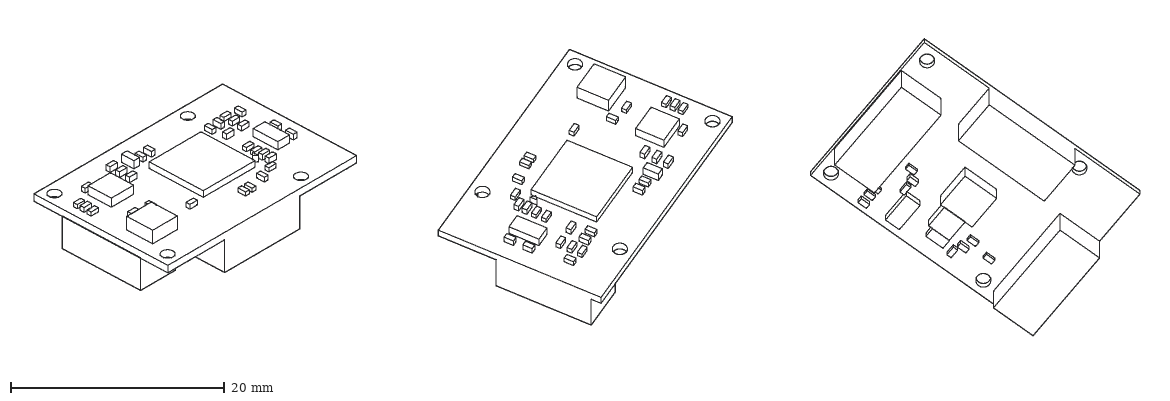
import cadquery as cq


BOARD_WIDTH = 17.4
BOARD_LENGTH = 25.6
BOARD_THICKNESS = 0.85
HOLE_DIAMETER = 1.4
HOLE_X = 7.35
UPPER_HOLE_Y = 6.65
LOWER_HOLE_Y = -11.42

CONNECTOR_LENGTH = 10.2
CONNECTOR_DEPTH = 4.7
CONNECTOR_HEIGHT = 3.7
BACK_CONNECTOR_LEFT = -7.65
FRONT_CONNECTOR_INSET = 0.08

CHIP_LENGTH = 1.0
CHIP_WIDTH = 0.5
LOW = 0.45
MEDIUM = 0.55
HIGH = 0.65
EXTRA_HIGH = 0.75

PROCESSOR_HEIGHT = 0.75
TALL_CHIP_HEIGHT = 0.92
PACKAGE_HEIGHT = 1.02
TALLEST_PACKAGE_HEIGHT = 1.54

MARKER_X = 2.43
MARKER_TOP_Y = 5.63
MARKER_WIDTH = 0.77
MARKER_LENGTH = 0.4

TOP_CHIPS_ALONG_X = [
    (0.1, 10.83, HIGH),
    (2.1, 10.83, HIGH),
    (-4.05, 10.32, MEDIUM),
    (-4.05, 7.42, HIGH),
    (-4.05, 6.25, MEDIUM),
    (5.05, 3.85, MEDIUM),
    (5.4, 1.8, LOW),
    (5.4, 0.92, LOW),
    (-5.5, -0.45, HIGH),
    (-5.5, -1.6, MEDIUM),
    (0.92, -6.96, MEDIUM),
]
TOP_CHIPS_ALONG_Y = [
    (-4.5, 8.8, LOW),
    (-3.4, 8.8, MEDIUM),
    (-2.2, 8.8, MEDIUM),
    (-2.2, 6.78, HIGH),
    (0.55, 6.6, LOW),
    (1.6, 6.6, LOW),
    (2.6, 6.6, HIGH),
    (3.48, 6.6, HIGH),
    (4.4, 5.6, LOW),
    (3.4, -4.05, MEDIUM),
    (-6.27, -4.75, HIGH),
    (-5.05, -4.75, HIGH),
    (-3.76, -4.75, HIGH),
    (-5.55, -8.88, MEDIUM),
    (0.45, -8.88, LOW),
    (-4.28, -11.3, LOW),
    (-3.4, -11.3, MEDIUM),
    (-2.48, -11.3, LOW),
]

TOP_PACKAGES = [
    (-0.33, 1.28, 7.01, 7.01, PROCESSOR_HEIGHT),
    (1.1, 9.16, 3.2, 1.6, TALL_CHIP_HEIGHT),
    (-5.63, -2.9, 1.6, 0.77, TALL_CHIP_HEIGHT),
    (-3.4, -7.88, 3.02, 3.02, PACKAGE_HEIGHT),
    (3.48, -9.5, 3.38, 3.33, TALLEST_PACKAGE_HEIGHT),
]

BOTTOM_CHIPS_ALONG_X = [
    (-6.65, 2.43, MEDIUM),
    (-4.22, -5.02, MEDIUM),
]
BOTTOM_CHIPS_ALONG_Y = [
    (-5.12, 5.6, LOW),
    (-4.6, 3.3, LOW),
    (-5.63, 2.95, HIGH),
    (-3.07, -5.05, EXTRA_HIGH),
    (-2.3, -5.79, LOW),
    (-7.7, -7.25, HIGH),
    (-6.78, -7.25, LOW),
    (-5.91, -7.25, LOW),
]

BOTTOM_PACKAGES = [
    (-6.27, 0.4, 1.0, 2.02, 0.75),
    (-4.33, 0.0, 2.45, 2.45, 1.3),
    (-1.02, 0.0, 3.76, 3.76, 2.0),
    (-6.07, -3.9, 3.17, 1.65, PACKAGE_HEIGHT),
]


def body_through_board(size_x, size_y, height):
    """Block that spans the board thickness plus the height that shows outside it."""
    return cq.Workplane("XY").box(size_x, size_y, BOARD_THICKNESS + height, centered=(True, True, False))


def body_on_top(x, y, size_x, size_y, height):
    """Block that stands on the top face, rooted in the board so the two fuse."""
    return body_through_board(size_x, size_y, height).translate((x, y, 0))


def body_below(x, y, size_x, size_y, height):
    """Block that hangs from the underside, rooted in the board so the two fuse."""
    return body_through_board(size_x, size_y, height).translate((x, y, -height))


def make_chips(along_x, along_y, make_body):
    chips = [make_body(x, y, CHIP_LENGTH, CHIP_WIDTH, height) for x, y, height in along_x]
    chips += [make_body(x, y, CHIP_WIDTH, CHIP_LENGTH, height) for x, y, height in along_y]
    return chips


def make_marker():
    """Triangular prism that points towards the processor."""
    corners = [
        (MARKER_X - MARKER_WIDTH / 2, MARKER_TOP_Y),
        (MARKER_X + MARKER_WIDTH / 2, MARKER_TOP_Y),
        (MARKER_X, MARKER_TOP_Y - MARKER_LENGTH),
    ]
    return cq.Workplane("XY").polyline(corners).close().extrude(BOARD_THICKNESS + PROCESSOR_HEIGHT)


def make_connectors():
    """Two connectors along X near the ends and one along Y at the +X edge."""
    back_x = BACK_CONNECTOR_LEFT + CONNECTOR_LENGTH / 2
    back_y = (BOARD_LENGTH - CONNECTOR_DEPTH) / 2
    side_x = (BOARD_WIDTH - CONNECTOR_DEPTH) / 2
    front_y = FRONT_CONNECTOR_INSET - back_y
    return [
        body_below(back_x, back_y, CONNECTOR_LENGTH, CONNECTOR_DEPTH, CONNECTOR_HEIGHT),
        body_below(0, front_y, CONNECTOR_LENGTH, CONNECTOR_DEPTH, CONNECTOR_HEIGHT),
        body_below(side_x, 0, CONNECTOR_DEPTH, CONNECTOR_LENGTH, CONNECTOR_HEIGHT),
    ]


def make_holes():
    centres = [(side * HOLE_X, y) for side in (-1, 1) for y in (UPPER_HOLE_Y, LOWER_HOLE_Y)]
    return cq.Workplane("XY").pushPoints(centres).circle(HOLE_DIAMETER / 2).extrude(BOARD_THICKNESS)


board = cq.Workplane("XY").box(BOARD_WIDTH, BOARD_LENGTH, BOARD_THICKNESS, centered=(True, True, False))
board = board.cut(make_holes())

bodies = make_connectors()
bodies += make_chips(TOP_CHIPS_ALONG_X, TOP_CHIPS_ALONG_Y, body_on_top)
bodies += make_chips(BOTTOM_CHIPS_ALONG_X, BOTTOM_CHIPS_ALONG_Y, body_below)
bodies += [body_on_top(*package) for package in TOP_PACKAGES]
bodies += [body_below(*package) for package in BOTTOM_PACKAGES]
bodies.append(make_marker())

result = board
for body in bodies:
    result = result.union(body)
result = result.clean()